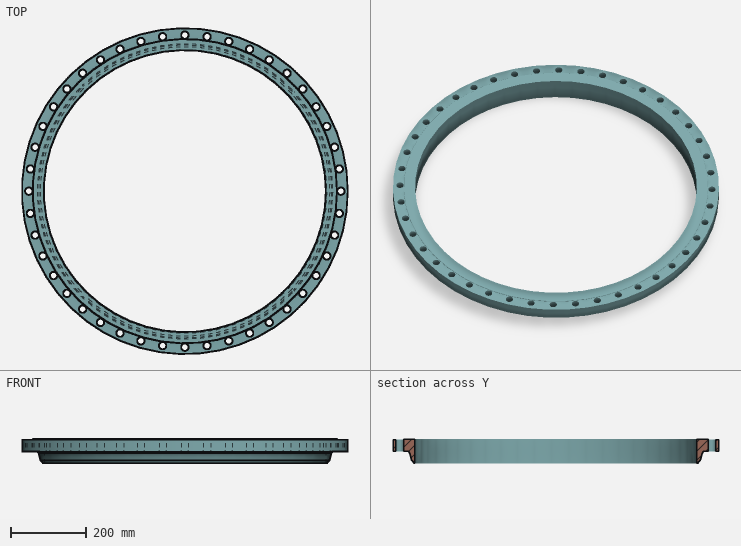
import cadquery as cq

outer_diameter = 864.0
total_height = 65.0
bore_diameter = 746.0

raised_face_diameter = 807.0
raised_face_height = 2.0
raised_face_chamfer = 1.0
plate_thickness = 32.0

hub_root_diameter = 782.0
hub_shoulder_diameter = 776.0
hub_root_height = 4.0
hub_end_diameter = 767.0
bevel_height = 9.0
weld_end_diameter = 751.0

bolt_count = 44
bolt_circle_diameter = 826.5
bolt_hole_diameter = 19.0

plate_top = total_height - raised_face_height
plate_bottom = plate_top - plate_thickness


def ring_body():
    """Revolve the half section of the ring around the Z axis."""
    section = (
        cq.Workplane("XZ")
        .moveTo(bore_diameter / 2, 0)
        .lineTo(weld_end_diameter / 2, 0)
        .lineTo(hub_end_diameter / 2, bevel_height)
        .lineTo(hub_shoulder_diameter / 2, plate_bottom - hub_root_height)
        .lineTo(hub_root_diameter / 2, plate_bottom)
        .lineTo(outer_diameter / 2, plate_bottom)
        .lineTo(outer_diameter / 2, plate_top)
        .lineTo(raised_face_diameter / 2, plate_top)
        .lineTo(raised_face_diameter / 2, total_height - raised_face_chamfer)
        .lineTo(raised_face_diameter / 2 - raised_face_chamfer, total_height)
        .lineTo(bore_diameter / 2, total_height)
        .close()
    )
    return section.revolve(360, (0, 0, 0), (0, 1, 0))


def bolt_holes():
    """Cylinders through the plate, the first one on the +X axis."""
    return (
        cq.Workplane("XY", origin=(0, 0, plate_bottom))
        .polarArray(bolt_circle_diameter / 2, 0, 360, bolt_count)
        .circle(bolt_hole_diameter / 2)
        .extrude(plate_thickness)
    )


result = ring_body().cut(bolt_holes())